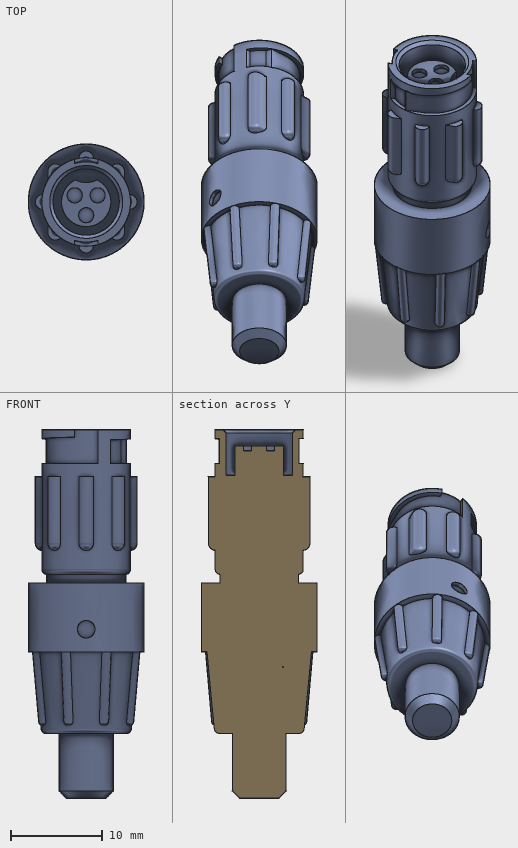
import cadquery as cq
import math

TOTAL_HEIGHT = 40.39
COLLAR_RADIUS = 6.35

TAIL_CHAMFER = 0.82
CONE_BOTTOM_Z = 7.1
COLLAR_BOTTOM_Z = 16.05
COLLAR_TOP_Z = COLLAR_BOTTOM_Z + 7.55
SHELL_BOTTOM_Z = COLLAR_TOP_Z + 0.92
SLOT_BOTTOM_Z = TOTAL_HEIGHT - 3.7

TAIL_RADIUS = 2.97
CONE_BOTTOM_RADIUS = 4.9
CONE_TOP_RADIUS = 5.75
NECK_RADIUS = 4.35
SHELL_RADIUS = 4.85
EDGE_FILLET = 0.56

SOCKET_RADIUS = 3.63
SOCKET_DEPTH = 5.0
SOCKET_CHAMFER = 0.36
CARRIER_RADIUS = 2.7
CARRIER_RECESS = 1.8
KEYWAY_RADIUS = 2.6
KEYWAY_FLOOR_Y = 2.13
CONTACT_COUNT = 3
CONTACT_RADIUS = 0.83
CONTACT_DEPTH = 0.5
CONTACT_CIRCLE_RADIUS = 1.45

GRIP_COUNT = 8
GRIP_RADIUS = 0.8
GRIP_CENTRE_RADIUS = 4.78
GRIP_TOP_Z = TOTAL_HEIGHT - 5.16
GRIP_ROUND_Z = TOTAL_HEIGHT - 12.45

CONE_RIB_COUNT = 8
CONE_RIB_RADIUS = 0.52
CONE_RIB_LIFT = 0.05
CONE_RIB_OVERLAP = 0.1
CONE_RIB_END_ROUND = 0.4
CONE_RIB_END_Z = COLLAR_BOTTOM_Z - 8.0

SLOT_FLOOR_RADIUS = 4.4
SLOT_ENTRY_HALF_WIDTH = 1.27
SLOT_END_X = 2.65
SLOT_ROOF_DROP = 1.0
SLOT_ROOF_TILT = 2.0
LOCK_BUMP_TIP_Y = 1.9
LOCK_BUMP_ROOT_Y = 2.2

COLLAR_HOLE_RADIUS = 0.96
COLLAR_HOLE_DEPTH = 0.5
COLLAR_HOLE_Z = COLLAR_BOTTOM_Z + 2.47

CLEARANCE = 1.0


def disc(radius, bottom_z, top_z):
    """Cylinder on the Z axis between two heights."""
    return cq.Workplane("XY").workplane(offset=bottom_z).circle(radius).extrude(top_z - bottom_z)


def turned_body():
    """Tail, cone, collar, neck and shell, stacked on the Z axis."""
    tail = disc(TAIL_RADIUS, 0, CONE_BOTTOM_Z).faces("<Z").chamfer(TAIL_CHAMFER)
    cone = (
        cq.Workplane("XZ")
        .moveTo(0, CONE_BOTTOM_Z)
        .lineTo(CONE_BOTTOM_RADIUS, CONE_BOTTOM_Z)
        .lineTo(CONE_TOP_RADIUS, COLLAR_BOTTOM_Z)
        .lineTo(0, COLLAR_BOTTOM_Z)
        .close()
        .revolve(360, (0, 0, 0), (0, 1, 0))
        .faces("<Z")
        .edges()
        .fillet(EDGE_FILLET)
    )
    collar = disc(COLLAR_RADIUS, COLLAR_BOTTOM_Z, COLLAR_TOP_Z)
    neck = disc(NECK_RADIUS, COLLAR_TOP_Z, SHELL_BOTTOM_Z)
    shell = disc(SHELL_RADIUS, SHELL_BOTTOM_Z, TOTAL_HEIGHT).faces("<Z").edges().fillet(EDGE_FILLET)
    return tail.union(cone).union(collar).union(neck).union(shell)


def round_ended_bar(radius, length):
    """Vertical bar with its lower end, a half sphere, centred on the origin."""
    return cq.Workplane("XY").circle(radius).extrude(length).union(cq.Workplane("XY").sphere(radius))


def grip_rib(angle):
    """Round grip rib; the diagonal ones run straight back along Y into the shell."""
    x = GRIP_CENTRE_RADIUS * math.cos(math.radians(angle))
    y = GRIP_CENTRE_RADIUS * math.sin(math.radians(angle))
    length = GRIP_TOP_Z - GRIP_ROUND_Z
    rib = round_ended_bar(GRIP_RADIUS, length)
    is_diagonal = angle % 90 != 0
    if is_diagonal:
        run = -y / 2
        web = (
            cq.Workplane("XZ")
            .moveTo(-GRIP_RADIUS, length)
            .lineTo(-GRIP_RADIUS, 0)
            .threePointArc((0, -GRIP_RADIUS), (GRIP_RADIUS, 0))
            .lineTo(GRIP_RADIUS, length)
            .close()
            .extrude(-run)
        )
        rib = rib.union(web)
    return rib.translate((x, y, GRIP_ROUND_Z))


def cone_rib(angle):
    """Round-ended rib following the slope of the cone."""
    cone_height = COLLAR_BOTTOM_Z - CONE_BOTTOM_Z
    flare = (CONE_TOP_RADIUS - CONE_BOTTOM_RADIUS) / cone_height
    centre_radius = CONE_BOTTOM_RADIUS + flare * (CONE_RIB_END_Z - CONE_BOTTOM_Z) + CONE_RIB_LIFT
    length = COLLAR_BOTTOM_Z - CONE_RIB_END_Z + CONE_RIB_OVERLAP
    return (
        disc(CONE_RIB_RADIUS, 0, length)
        .faces("<Z")
        .edges()
        .fillet(CONE_RIB_END_ROUND)
        .rotate((0, 0, 0), (0, 1, 0), math.degrees(math.atan(flare)))
        .translate((centre_radius, 0, CONE_RIB_END_Z))
        .rotate((0, 0, 0), (0, 0, 1), angle)
    )


def socket_cut():
    """Chamfered annular socket around the contact carrier."""
    bore = disc(SOCKET_RADIUS, TOTAL_HEIGHT - SOCKET_DEPTH, TOTAL_HEIGHT)
    lead_in = (
        cq.Workplane("XY")
        .workplane(offset=TOTAL_HEIGHT)
        .circle(SOCKET_RADIUS + SOCKET_CHAMFER)
        .workplane(offset=-SOCKET_CHAMFER)
        .circle(SOCKET_RADIUS)
        .loft()
    )
    return bore.union(lead_in).cut(contact_carrier())


def contact_carrier():
    """Keyed post with a shallow hole for each contact."""
    carrier_top_z = TOTAL_HEIGHT - CARRIER_RECESS
    carrier_bottom_z = TOTAL_HEIGHT - SOCKET_DEPTH
    carrier = disc(CARRIER_RADIUS, carrier_bottom_z, carrier_top_z)
    keyway = disc(KEYWAY_RADIUS, carrier_bottom_z, carrier_top_z)
    carrier = carrier.cut(keyway.translate((0, KEYWAY_FLOOR_Y + KEYWAY_RADIUS, 0)))
    contacts = (
        cq.Workplane("XY")
        .workplane(offset=carrier_top_z - CONTACT_DEPTH)
        .polarArray(CONTACT_CIRCLE_RADIUS, -90, 360, CONTACT_COUNT)
        .circle(CONTACT_RADIUS)
        .extrude(CONTACT_DEPTH)
    )
    return carrier.cut(contacts)


def circle_y(radius, x):
    """Positive Y on a circle about the origin; equally gives X from Y."""
    return math.sqrt(radius**2 - x**2)


def bayonet_slot():
    """Entry on the -Y side, run around -X past the lock bump, to a stop on the +Y side."""
    outer = SHELL_RADIUS + CLEARANCE
    floor = SLOT_FLOOR_RADIUS
    entry = SLOT_ENTRY_HALF_WIDTH
    bump_root_x = -circle_y(floor, LOCK_BUMP_ROOT_Y)
    mid_seat_x = (bump_root_x - SLOT_END_X) / 2
    mid_run_x = -floor / 2
    height = TOTAL_HEIGHT - SLOT_BOTTOM_Z
    block_size = 4 * outer
    track = (
        cq.Workplane("XY")
        .workplane(offset=SLOT_BOTTOM_Z)
        .moveTo(entry, -outer)
        .lineTo(entry, -circle_y(floor, entry))
        .threePointArc((mid_run_x, -circle_y(floor, mid_run_x)), (-floor, 0))
        .lineTo(-floor, LOCK_BUMP_TIP_Y)
        .lineTo(bump_root_x, LOCK_BUMP_ROOT_Y)
        .threePointArc(
            (mid_seat_x, circle_y(floor, mid_seat_x)),
            (-SLOT_END_X, circle_y(floor, SLOT_END_X)),
        )
        .lineTo(-SLOT_END_X, outer)
        .lineTo(-outer, outer)
        .lineTo(-outer, -outer)
        .close()
        .extrude(height)
    )
    roof = (
        cq.Workplane("XY")
        .box(block_size, block_size, height, centered=(True, True, False))
        .rotate((0, 0, 0), (1, 0, 0), -SLOT_ROOF_TILT)
        .translate((0, 0, TOTAL_HEIGHT - SLOT_ROOF_DROP))
    )
    entry_gap = (
        cq.Workplane("XY")
        .box(2 * entry, block_size, block_size)
        .translate((0, -block_size / 2, TOTAL_HEIGHT))
    )
    return track.cut(roof.cut(entry_gap))


def collar_hole():
    """Blind radial hole entering the collar from -Y."""
    hole_floor_y = COLLAR_HOLE_DEPTH - COLLAR_RADIUS
    return (
        cq.Workplane("XZ", origin=(0, hole_floor_y, COLLAR_HOLE_Z))
        .circle(COLLAR_HOLE_RADIUS)
        .extrude(COLLAR_HOLE_DEPTH + CLEARANCE)
    )


result = turned_body()
for index in range(GRIP_COUNT):
    result = result.union(grip_rib(index * 360 / GRIP_COUNT))
for index in range(CONE_RIB_COUNT):
    result = result.union(cone_rib((index + 0.5) * 360 / CONE_RIB_COUNT))
result = result.cut(socket_cut())
for half_turn in (0, 180):
    result = result.cut(bayonet_slot().rotate((0, 0, 0), (0, 0, 1), half_turn))
    result = result.cut(collar_hole().rotate((0, 0, 0), (0, 0, 1), half_turn))